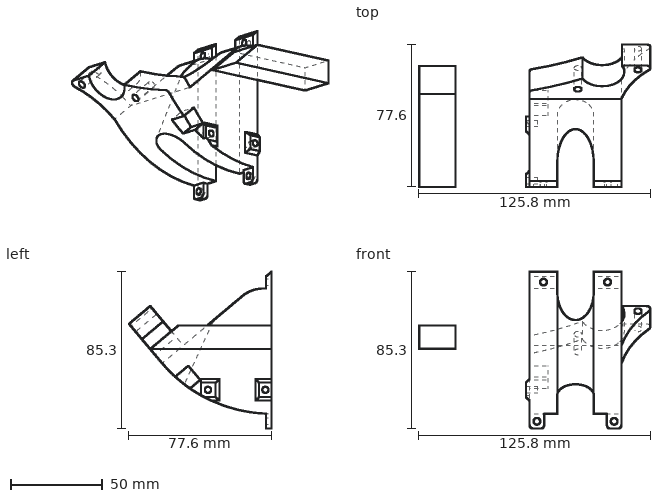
import cadquery as cq
import math


cradle_width = 50.0
plate_thickness = 3.1
plate_top = 77.3
slope_angle = math.radians(40)
shoulder_height = 68.3
shoulder_flat_end = 4.4
shoulder_radius = 18.0
belly_radius = 78.2
belly_mid_angle = math.radians(25)

flange_thickness = 15.1
flange_length = 28.0
flange_left_length = 6.8
flange_arc_mid = (33.6, 17.3)
flange_tip_x = 44.6
flange_tip_fillet = 2.1
flange_left_fillet = 2.0
saddle_radius = 12.1
saddle_center = (14.5, 22.6)
saddle_left = (3.8, 17.1)
flange_left_arc_mid = (-9.8, 11.5)
flange_hole_centers = [(1.3, 8.0), (34.0, 24.4)]
flange_hole_diameter = 4.0

slot_width = 19.6
slot_tilt = 24.6
slot_apex_y = 31.4

tab_width = 8.0
tab_height = 8.0
tab_overlap = 6.3
tab_fillet = 2.0
screw_hole_diameter = 3.5
upper_hole_height = 71.7

boss_height = 2.0
boss_overlap = 0.6
bevel_run_on = 0.3
boss_center_z = 13.1
boss_span_z = 11.8
front_boss_end = 8.8
rear_boss_start = 28.4
rear_boss_end = 38.3
boss_hole_ys = [3.4, 34.6]
boss_hole_diameter = 3.4
boss_hole_depth = 6.3

recess_top_drop = 10.2
recess_width = 10.0
recess_inset = 5.0
recess_depth = 10.0

wedge_width = 19.9
wedge_left = -85.0
wedge_bottom = 35.3
wedge_height = 12.8
wedge_length = 65.9

half_width = cradle_width / 2
sin_slope = math.sin(slope_angle)
cos_slope = math.cos(slope_angle)
tan_slope = math.tan(slope_angle)
slope_start_y = shoulder_flat_end + shoulder_radius * sin_slope
slope_start_z = shoulder_height - shoulder_radius * (1 - cos_slope)
belly_end_y = belly_radius * cos_slope
belly_end_z = belly_radius * (1 - sin_slope)


def slope_height(y):
    return slope_start_z - (y - slope_start_y) * tan_slope


inner_y = belly_end_y - flange_thickness * cos_slope
inner_z = belly_end_z + flange_thickness * sin_slope
root_shift = (slope_height(inner_y) - inner_z) * cos_slope
root_y = inner_y + root_shift * sin_slope
root_z = inner_z + root_shift * cos_slope
outer_root_y = root_y + flange_thickness * cos_slope
outer_root_z = root_z - flange_thickness * sin_slope

flange_plane = cq.Plane(
    origin=(0, root_y, root_z), xDir=(1, 0, 0), normal=(0, -cos_slope, sin_slope)
)


def make_profile_slab(start_x, width):
    """Cradle side profile, extruded along X."""
    half_arc = slope_angle / 2
    shoulder_mid = (
        shoulder_flat_end + shoulder_radius * math.sin(half_arc),
        shoulder_height - shoulder_radius * (1 - math.cos(half_arc)),
    )
    belly_mid = (
        belly_radius * math.sin(belly_mid_angle),
        belly_radius * (1 - math.cos(belly_mid_angle)),
    )
    return (
        cq.Workplane("YZ", origin=(start_x, 0, 0))
        .moveTo(0, 0)
        .lineTo(0, plate_top)
        .lineTo(plate_thickness, plate_top - plate_thickness * tan_slope)
        .lineTo(plate_thickness, shoulder_height)
        .lineTo(shoulder_flat_end, shoulder_height)
        .threePointArc(shoulder_mid, (slope_start_y, slope_start_z))
        .lineTo(root_y, root_z)
        .lineTo(outer_root_y, outer_root_z)
        .threePointArc(belly_mid, (0, 0))
        .close()
        .extrude(width)
    )


def make_flange():
    saddle_bottom = (saddle_center[0], saddle_center[1] - saddle_radius)
    saddle_rise = flange_length - saddle_center[1]
    saddle_right_x = saddle_center[0] + math.sqrt(saddle_radius**2 - saddle_rise**2)
    flange = (
        cq.Workplane(flange_plane)
        .moveTo(-half_width, 0)
        .lineTo(-half_width, flange_left_length)
        .threePointArc(flange_left_arc_mid, saddle_left)
        .threePointArc(saddle_bottom, (saddle_right_x, flange_length))
        .lineTo(flange_tip_x, flange_length)
        .threePointArc(flange_arc_mid, (half_width, 0))
        .close()
        .extrude(-flange_thickness)
    )
    for corner_x, corner_y, radius in [
        (-half_width, flange_left_length, flange_left_fillet),
        (flange_tip_x, flange_length, flange_tip_fillet),
    ]:
        corner = flange_plane.toWorldCoords((corner_x, corner_y, -flange_thickness / 2))
        flange = flange.edges(cq.selectors.NearestToPointSelector(corner)).fillet(radius)
    return flange


def make_flange_holes():
    return (
        cq.Workplane(flange_plane)
        .pushPoints(flange_hole_centers)
        .circle(flange_hole_diameter / 2)
        .extrude(-flange_thickness)
    )


def make_leg_slot():
    """Round-ended slot, leaning back toward its lower end and open to the front."""
    reach = 2 * plate_top
    slot_radius = slot_width / 2
    apex = cq.Workplane("XY", origin=(0, slot_apex_y, slope_height(slot_apex_y)))
    slot_plane = apex.transformed(rotate=(slot_tilt, 0, 0))
    return (
        slot_plane.moveTo(-slot_radius, -reach)
        .lineTo(-slot_radius, -slot_radius)
        .threePointArc((0, 0), (slot_radius, -slot_radius))
        .lineTo(slot_radius, -reach)
        .close()
        .extrude(reach, both=True)
    )


def make_tab(side):
    """Screw tab below a front leg; its upper end is sunk into the leg."""
    center_x = side * (half_width - tab_width / 2)
    return (
        cq.Workplane("XY")
        .box(tab_width, plate_thickness, tab_height + tab_overlap, centered=(True, False, False))
        .edges("|Y and <Z")
        .fillet(tab_fillet)
        .translate((center_x, 0, -tab_height))
    )


def make_screw_holes():
    tab_x = half_width - tab_width / 2
    leg_x = (half_width + slot_width / 2) / 2
    centers = []
    for side in (-1, 1):
        centers.append((side * tab_x, -tab_height / 2))
        centers.append((side * leg_x, upper_hole_height))
    return (
        cq.Workplane("XZ")
        .pushPoints(centers)
        .circle(screw_hole_diameter / 2)
        .extrude(-plate_thickness)
    )


def make_boss(start_y, end_y, bevelled_end):
    """Pad on the left side, bevelled at 45 degrees above, below and on one end.

    The bevels run on below the wall surface, so the pad is deeper and wider there.
    """
    if bevelled_end == ">Y":
        end_y += bevel_run_on
    else:
        start_y -= bevel_run_on
    span_z = boss_span_z + 2 * bevel_run_on
    center_x = -half_width + (boss_overlap - boss_height) / 2
    pad = (
        cq.Workplane("XY")
        .box(boss_height + boss_overlap, end_y - start_y, span_z)
        .translate((center_x, (start_y + end_y) / 2, boss_center_z))
    )
    bevel = boss_height + bevel_run_on
    return pad.faces("<X").edges(">Z or <Z or " + bevelled_end).chamfer(bevel)


def make_boss_holes():
    return (
        cq.Workplane("YZ", origin=(-half_width - boss_height, 0, 0))
        .pushPoints([(y, boss_center_z) for y in boss_hole_ys])
        .circle(boss_hole_diameter / 2)
        .extrude(boss_hole_depth)
    )


def make_belly_recess():
    return (
        cq.Workplane(flange_plane)
        .workplane(offset=-recess_inset)
        .center(-half_width, -recess_top_drop)
        .rect(recess_depth, -recess_width, centered=False)
        .extrude(-belly_radius)
    )


def make_bosses():
    """Both pads, trimmed to the cradle profile and to the wall they stand on."""
    front_boss = make_boss(0, front_boss_end, ">Y")
    rear_boss = make_boss(rear_boss_start, rear_boss_end, "<Y")
    profile_beside_wall = make_profile_slab(-half_width - boss_height, boss_height)
    return front_boss.union(rear_boss).intersect(profile_beside_wall)


def make_cradle():
    cradle = make_profile_slab(-half_width, cradle_width)
    cradle = cradle.cut(make_leg_slot()).union(make_flange())
    for side in (-1, 1):
        cradle = cradle.union(make_tab(side))
    cradle = cradle.cut(make_belly_recess()).union(make_bosses())
    for cutter in (make_flange_holes(), make_screw_holes(), make_boss_holes()):
        cradle = cradle.cut(cutter)
    return cradle


def make_wedge():
    """Square-fronted block whose back end is cut off parallel to the cradle slope."""
    top_length = wedge_length - wedge_height / tan_slope
    return (
        cq.Workplane("YZ", origin=(wedge_left, 0, wedge_bottom))
        .moveTo(0, 0)
        .lineTo(wedge_length, 0)
        .lineTo(top_length, wedge_height)
        .lineTo(0, wedge_height)
        .close()
        .extrude(wedge_width)
    )


cradle = make_cradle()
wedge = make_wedge()
result = cq.Compound.makeCompound([*cradle.solids().vals(), *wedge.vals()])